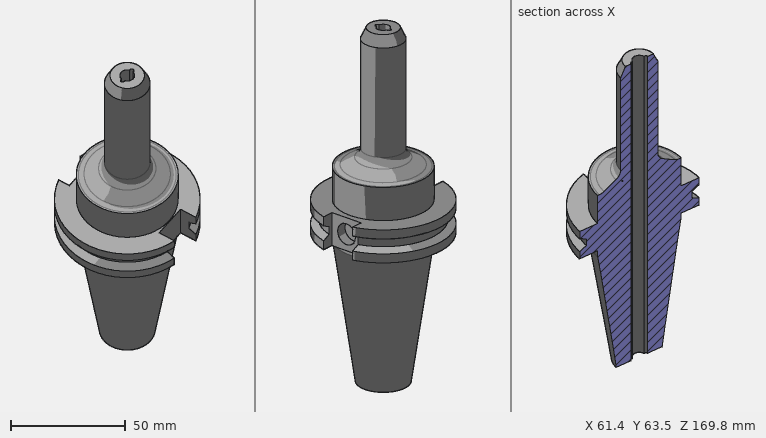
import math

import cadquery as cq


GAUGE_RADIUS = 44.45 / 2
TAPER_LENGTH = 68.25
TAPER_PER_DIAMETER = 7 / 24
TAPER_END_RADIUS = GAUGE_RADIUS - TAPER_LENGTH * TAPER_PER_DIAMETER / 2

FLANGE_RADIUS = 63.5 / 2
FLANGE_BOTTOM_Z = 3.175
FLANGE_TOP_Z = 19.05
GROOVE_ROOT_RADIUS = 56.36 / 2
GROOVE_ROOT_HALF_WIDTH = 1.8
GROOVE_MOUTH_HALF_WIDTH = 3.6
GROOVE_CENTRE_Z = (FLANGE_BOTTOM_Z + FLANGE_TOP_Z) / 2

SLOT_WIDTH = 16.38
SLOT_FLOOR_NEG_X = 25.0
SLOT_FLOOR_POS_X = 22.6
POCKET_DIAMETER = 10.0
POCKET_DEPTH = 5.0

COLLAR_TOP_Z = 35.0
NOSE_TOP_Z = 101.6
NOSE_RADIUS = 9.99
NOSE_TIP_RADIUS = 7.5
NOSE_TIP_HEIGHT = 5.3
SHOULDER_ANGLE = math.radians(30)
SHOULDER_FILLET = 5.0
SHOULDER_FOOT_RADIUS = 21.3

BORE_DIAMETER = 6.35
COOLANT_WIDTH = 1.7
COOLANT_SPAN = 8.7


def fillet_point(centre, angle):
    """Point (radius, z) on a shoulder fillet, with the angle measured from the +radius direction."""
    return (
        centre[0] + SHOULDER_FILLET * math.cos(angle),
        centre[1] + SHOULDER_FILLET * math.sin(angle),
    )


def turned_body():
    normal = -math.pi / 2 - SHOULDER_ANGLE
    foot_centre = (SHOULDER_FOOT_RADIUS, COLLAR_TOP_Z + SHOULDER_FILLET)
    cone_bottom = fillet_point(foot_centre, normal)
    foot_middle = fillet_point(foot_centre, (normal - math.pi / 2) / 2)

    cone_top_radius = NOSE_RADIUS + SHOULDER_FILLET * (1 - math.sin(SHOULDER_ANGLE))
    cone_height = (cone_bottom[0] - cone_top_radius) * math.tan(SHOULDER_ANGLE)
    cone_top = (cone_top_radius, cone_bottom[1] + cone_height)
    neck_centre_z = cone_top[1] + SHOULDER_FILLET * math.cos(SHOULDER_ANGLE)
    neck_centre = (NOSE_RADIUS + SHOULDER_FILLET, neck_centre_z)
    neck_middle = fillet_point(neck_centre, (normal - math.pi) / 2)

    return (
        cq.Workplane("XZ")
        .moveTo(0, -TAPER_LENGTH)
        .lineTo(TAPER_END_RADIUS, -TAPER_LENGTH)
        .lineTo(GAUGE_RADIUS, 0)
        .lineTo(GAUGE_RADIUS, FLANGE_BOTTOM_Z)
        .lineTo(FLANGE_RADIUS, FLANGE_BOTTOM_Z)
        .lineTo(FLANGE_RADIUS, GROOVE_CENTRE_Z - GROOVE_MOUTH_HALF_WIDTH)
        .lineTo(GROOVE_ROOT_RADIUS, GROOVE_CENTRE_Z - GROOVE_ROOT_HALF_WIDTH)
        .lineTo(GROOVE_ROOT_RADIUS, GROOVE_CENTRE_Z + GROOVE_ROOT_HALF_WIDTH)
        .lineTo(FLANGE_RADIUS, GROOVE_CENTRE_Z + GROOVE_MOUTH_HALF_WIDTH)
        .lineTo(FLANGE_RADIUS, FLANGE_TOP_Z)
        .lineTo(GAUGE_RADIUS, FLANGE_TOP_Z)
        .lineTo(GAUGE_RADIUS, COLLAR_TOP_Z)
        .lineTo(SHOULDER_FOOT_RADIUS, COLLAR_TOP_Z)
        .threePointArc(foot_middle, cone_bottom)
        .lineTo(*cone_top)
        .threePointArc(neck_middle, (NOSE_RADIUS, neck_centre_z))
        .lineTo(NOSE_RADIUS, NOSE_TOP_Z - NOSE_TIP_HEIGHT)
        .lineTo(NOSE_TIP_RADIUS, NOSE_TOP_Z)
        .lineTo(0, NOSE_TOP_Z)
        .close()
        .revolve(360, (0, 0, 0), (0, 1, 0))
    )


def drive_slot(side, floor_distance):
    """Cutter from the slot floor out past the flange rim; side is -1 or +1 along X."""
    depth = FLANGE_RADIUS - floor_distance
    centre = (side * (floor_distance + depth / 2), 0, GROOVE_CENTRE_Z)
    return cq.Workplane("XY", origin=centre).box(depth, SLOT_WIDTH, FLANGE_TOP_Z - FLANGE_BOTTOM_Z)


def slot_pocket():
    return (
        cq.Workplane("YZ", origin=(-SLOT_FLOOR_NEG_X, 0, GROOVE_CENTRE_Z))
        .circle(POCKET_DIAMETER / 2)
        .extrude(POCKET_DEPTH)
    )


def grooved_bore():
    length = NOSE_TOP_Z + TAPER_LENGTH
    base = cq.Workplane("XY", origin=(0, 0, -TAPER_LENGTH))
    bore = base.circle(BORE_DIAMETER / 2).extrude(length)
    grooves = base.slot2D(COOLANT_SPAN, COOLANT_WIDTH, 90).extrude(length)
    return bore.union(grooves)


result = turned_body()
for side, floor_distance in ((-1, SLOT_FLOOR_NEG_X), (1, SLOT_FLOOR_POS_X)):
    result = result.cut(drive_slot(side, floor_distance))
result = result.cut(slot_pocket()).cut(grooved_bore())